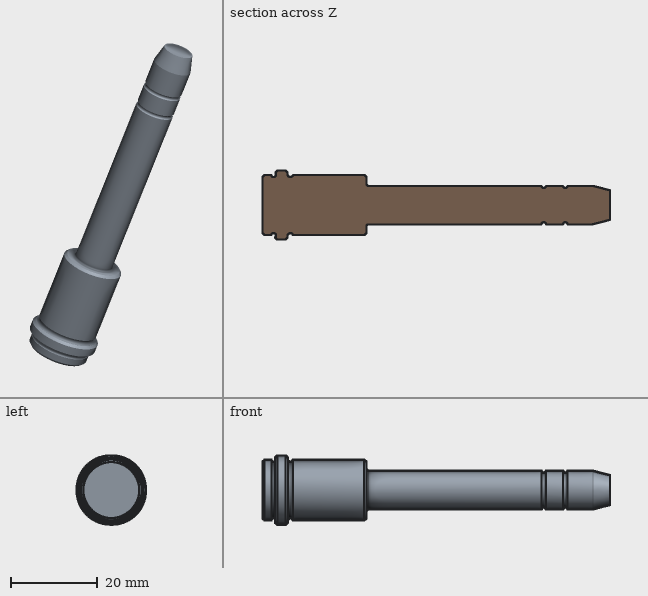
import cadquery as cq

total_length = 80.0
head_radius = 14.0 / 2
flange_radius = 16.0 / 2
shaft_radius = 9.0 / 2
tip_radius = 3.4

edge_chamfer = 0.6
disc_end = 2.1
flange_start = 2.9
flange_end = 5.9
body_start = 7.0
body_end = 24.0
neck_groove_depth = 0.5
flange_chamfer = 0.6

root_fillet = 0.4
taper_length = 4.0
ring_groove_radius = 0.5
ring_groove_pitch = 5.0
first_ring_groove = 64.7
ring_groove_count = 2


def round_groove(start, end, radius, depth):
    """Ring with an arc section sunk into a cylinder of the given radius."""
    middle = (start + end) / 2
    return (
        cq.Workplane("XY")
        .moveTo(start, radius)
        .threePointArc((middle, radius - depth), (end, radius))
        .close()
        .revolve(360, (0, 0, 0), (1, 0, 0))
    )


def make_head():
    """Head whose neck grooves run from the body into the flange chamfers."""
    rim_radius = head_radius - edge_chamfer
    flange_rim_radius = flange_radius - flange_chamfer
    groove_floor_radius = head_radius - neck_groove_depth
    return (
        cq.Workplane("XY")
        .moveTo(0, 0)
        .lineTo(0, rim_radius)
        .lineTo(edge_chamfer, head_radius)
        .lineTo(disc_end, head_radius)
        .threePointArc(
            ((disc_end + flange_start) / 2, groove_floor_radius),
            (flange_start, flange_rim_radius),
        )
        .lineTo(flange_start + flange_chamfer, flange_radius)
        .lineTo(flange_end - flange_chamfer, flange_radius)
        .lineTo(flange_end, flange_rim_radius)
        .threePointArc(
            ((flange_end + body_start) / 2, groove_floor_radius),
            (body_start, head_radius),
        )
        .lineTo(body_end - edge_chamfer, head_radius)
        .lineTo(body_end, rim_radius)
        .lineTo(body_end, 0)
        .close()
        .revolve(360, (0, 0, 0), (1, 0, 0))
    )


def make_shaft():
    """Shaft with a concave root fillet, a tapered tip and ring grooves."""
    fillet_end = body_end + root_fillet
    fillet_corner_offset = root_fillet * (1 - 0.5 ** 0.5)
    shaft = (
        cq.Workplane("XY")
        .moveTo(body_end, 0)
        .lineTo(body_end, shaft_radius + root_fillet)
        .threePointArc(
            (body_end + fillet_corner_offset, shaft_radius + fillet_corner_offset),
            (fillet_end, shaft_radius),
        )
        .lineTo(total_length - taper_length, shaft_radius)
        .lineTo(total_length, tip_radius)
        .lineTo(total_length, 0)
        .close()
        .revolve(360, (0, 0, 0), (1, 0, 0))
    )
    for index in range(ring_groove_count):
        middle = first_ring_groove + index * ring_groove_pitch
        shaft = shaft.cut(
            round_groove(
                middle - ring_groove_radius,
                middle + ring_groove_radius,
                shaft_radius,
                ring_groove_radius,
            )
        )
    return shaft


result = make_head().union(make_shaft())